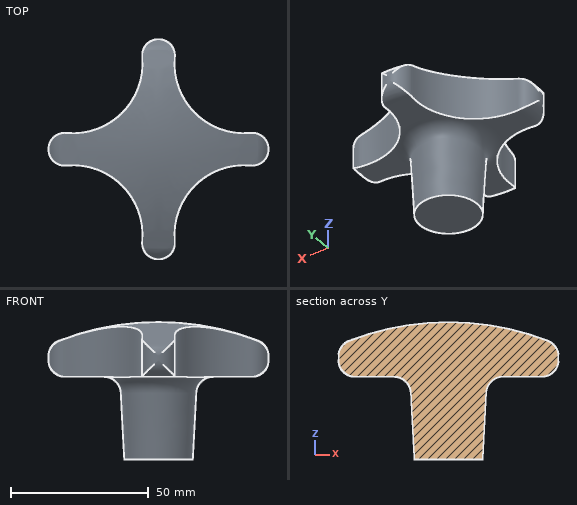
import cadquery as cq
import math

span = 80.0
total_height = 50.0

head_base = 30.0
dome_radius = 100.0
rim_radius = 6.0
hollow_center = 31.0
tip_radius = 6.0
side_length = 1.2

stem_base_radius = 12.5
stem_taper = math.radians(3.0)
neck_fillet = 6.0

head_radius = span / 2
tip_center = head_radius - tip_radius


def dome_disc():
    """Disc turned about Z: flat base, rounded rim and spherical top."""
    rim_center_radius = head_radius - rim_radius
    dome_center_z = total_height - dome_radius
    rim_angle = math.acos(rim_center_radius / (dome_radius - rim_radius))
    upper_center_z = dome_center_z + (dome_radius - rim_radius) * math.sin(rim_angle)
    lower_center_z = head_base + rim_radius

    def on_dome(angle):
        return (dome_radius * math.cos(angle), dome_center_z + dome_radius * math.sin(angle))

    def on_rim(center_z, angle):
        return (rim_center_radius + rim_radius * math.cos(angle), center_z + rim_radius * math.sin(angle))

    return (
        cq.Workplane("XZ")
        .moveTo(0, head_base)
        .lineTo(rim_center_radius, head_base)
        .threePointArc(on_rim(lower_center_z, -math.pi / 4), (head_radius, lower_center_z))
        .lineTo(head_radius, upper_center_z)
        .threePointArc(on_rim(upper_center_z, rim_angle / 2), on_dome(rim_angle))
        .threePointArc(on_dome((rim_angle + math.pi / 2) / 2), (0, total_height))
        .close()
        .revolve(360, (0, 0, 0), (0, 1, 0))
    )


def quarter_turned(x, y, quarter):
    """Point (x, y) turned about Z by a number of quarter turns."""
    for _ in range(quarter):
        x, y = -y, x
    return (x, y)


def cross_prism():
    """Four round-ended arms joined by concave hollows.

    Each tip arc runs from the end of one hollow, round the tip, to a short
    straight side that leads into the next hollow.
    """
    side_inner = tip_center - side_length / 2
    side_outer = tip_center + side_length / 2
    half_width = math.sqrt(tip_radius**2 - (side_length / 2) ** 2)

    hollow_radius = math.hypot(side_inner - hollow_center, half_width - hollow_center)
    hollow_middle = hollow_center - hollow_radius * math.sqrt(0.5)

    outline = cq.Workplane("XY").moveTo(side_inner, -half_width)
    for quarter in range(4):
        tip = quarter_turned(head_radius, 0, quarter)
        tip_end = quarter_turned(side_outer, half_width, quarter)
        hollow_start = quarter_turned(side_inner, half_width, quarter)
        hollow_bottom = quarter_turned(hollow_middle, hollow_middle, quarter)
        hollow_end = quarter_turned(half_width, side_inner, quarter)
        outline = (
            outline
            .threePointArc(tip, tip_end)
            .lineTo(*hollow_start)
            .threePointArc(hollow_bottom, hollow_end)
        )
    return outline.close().extrude(total_height)


def stem():
    """Tapered stem that flares into the flat underside of the head."""
    neck_center_z = head_base - neck_fillet
    neck_start_z = neck_center_z + neck_fillet * math.sin(stem_taper)
    neck_start_radius = stem_base_radius + neck_start_z * math.tan(stem_taper)
    neck_center_radius = neck_start_radius + neck_fillet * math.cos(stem_taper)
    middle_angle = (math.pi / 2 + math.pi - stem_taper) / 2
    neck_middle = (
        neck_center_radius + neck_fillet * math.cos(middle_angle),
        neck_center_z + neck_fillet * math.sin(middle_angle),
    )
    return (
        cq.Workplane("XZ")
        .lineTo(stem_base_radius, 0)
        .lineTo(neck_start_radius, neck_start_z)
        .threePointArc(neck_middle, (neck_center_radius, head_base))
        .lineTo(0, head_base)
        .close()
        .revolve(360, (0, 0, 0), (0, 1, 0))
    )


result = dome_disc().union(stem()).intersect(cross_prism())